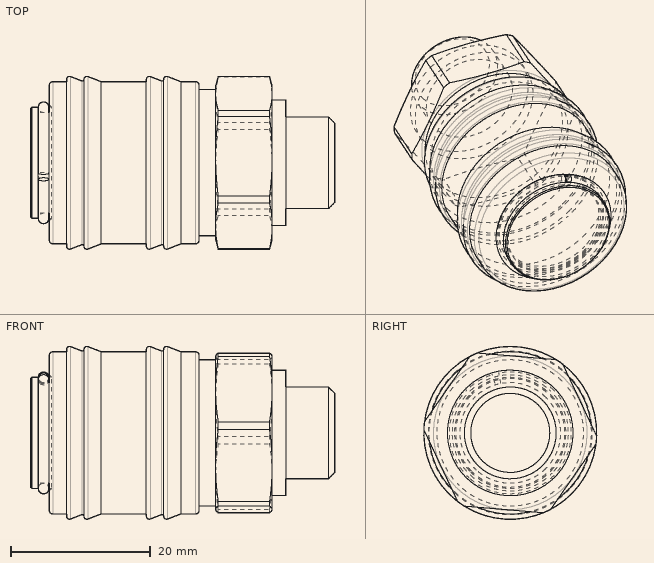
import cadquery as cq
import math


overall_length = 43.6
sleeve_start = 2.65
sleeve_end = 24.15
hex_start = 26.5
hex_end = 34.6
flange_end = 36.6

nose_diameter = 15.95
nose_chamfer = 0.17
groove_diameter = 14.45
groove_start = 1.1

sleeve_diameter = 23.3
sleeve_fillet = 0.52
countersink_diameter = 16.65
first_rib = 5.15
rib_length = 2.5
rib_pair_spacing = 11.42
rib_slope_degrees = 21.2
rib_tip_fillet = 0.45
rib_valley_fillet = 0.2

neck_diameter = 21.0
hex_across_flats = 22.0
hex_corner_diameter = 24.8
hex_tilt_degrees = -4.8
hex_chamfer_degrees = 15.0
flange_diameter = 18.0
stub_diameter = 13.15
stub_chamfer = 0.9

wire_diameter = nose_diameter - groove_diameter
ring_gap_start_degrees = 10.9
ring_gap_degrees = 6.3

X_AXIS = cq.Vector(1, 0, 0)


def cylinder(diameter, start, end):
    """Solid cylinder on the X axis between two stations."""
    return cq.Workplane("YZ", origin=(start, 0, 0)).circle(diameter / 2).extrude(end - start)


def cone(start_diameter, end_diameter, start, end):
    """Solid cone on the X axis between two stations."""
    base = cq.Vector(start, 0, 0)
    solid = cq.Solid.makeCone(start_diameter / 2, end_diameter / 2, end - start, base, X_AXIS)
    return cq.Workplane(obj=solid)


def make_nose():
    """Plug at the -X end with a square groove for the ring."""
    nose = cylinder(nose_diameter, 0, sleeve_end).faces("<X").chamfer(nose_chamfer)
    groove = cylinder(nose_diameter, groove_start, sleeve_start)
    groove_floor = cylinder(groove_diameter, groove_start, sleeve_start)
    return nose.cut(groove.cut(groove_floor))


def make_rib(start):
    """Sawtooth rib: flat front face, rounded tip, and a cone falling to the sleeve surface."""
    rise = rib_length * math.tan(math.radians(rib_slope_degrees))
    rib = cone(sleeve_diameter + 2 * rise, sleeve_diameter, start, start + rib_length)
    return rib.faces("<X").edges().fillet(rib_tip_fillet)


def make_rib_pair(start):
    """Two ribs in a row with a rounded valley between them."""
    valley = start + rib_length
    pair = make_rib(start).union(make_rib(valley))
    half_window = rib_valley_fillet / 2
    valley_window = cq.selectors.BoxSelector(
        (valley - half_window, -sleeve_diameter, -sleeve_diameter),
        (valley + half_window, sleeve_diameter, sleeve_diameter),
    )
    return pair.edges(valley_window).fillet(rib_valley_fillet)


def make_sleeve():
    """Rounded grip sleeve with rib pairs and a countersink around the nose."""
    sleeve = cylinder(sleeve_diameter, sleeve_start, sleeve_end).edges().fillet(sleeve_fillet)
    for pair_index in range(2):
        sleeve = sleeve.union(make_rib_pair(first_rib + pair_index * rib_pair_spacing))
    depth = (countersink_diameter - nose_diameter) / 2
    countersink = cone(countersink_diameter, nose_diameter, sleeve_start, sleeve_start + depth)
    return sleeve.cut(countersink)


def make_hexagon():
    """Hexagon with round-turned corners and conical chamfers on both ends."""
    corner_to_corner = hex_across_flats / math.cos(math.pi / 6)
    hexagon = (
        cq.Workplane("YZ", origin=(hex_start, 0, 0))
        .polygon(6, corner_to_corner)
        .extrude(hex_end - hex_start)
        .rotate((0, 0, 0), (1, 0, 0), hex_tilt_degrees)
    )
    chamfer_height = (hex_corner_diameter - hex_across_flats) / 2
    chamfer_length = chamfer_height * math.tan(math.radians(hex_chamfer_degrees))
    turned_blank = (
        cylinder(hex_corner_diameter, hex_start + chamfer_length, hex_end - chamfer_length)
        .union(cone(hex_across_flats, hex_corner_diameter, hex_start, hex_start + chamfer_length))
        .union(cone(hex_corner_diameter, hex_across_flats, hex_end - chamfer_length, hex_end))
    )
    return hexagon.intersect(turned_blank)


def make_coupling_body():
    """Nose, sleeve, neck, hexagon, flange and stub as one solid."""
    neck = cylinder(neck_diameter, sleeve_end, hex_start)
    flange = cylinder(flange_diameter, hex_end, flange_end)
    stub = cylinder(stub_diameter, flange_end, overall_length).faces(">X").chamfer(stub_chamfer)
    body = make_sleeve().union(make_nose())
    for section in (neck, make_hexagon(), flange, stub):
        body = body.union(section)
    return body


def make_split_ring():
    """Round-wire ring with a short gap turned from +Z towards -Y."""
    return (
        cq.Workplane("XZ")
        .center(groove_start + wire_diameter / 2, nose_diameter / 2)
        .circle(wire_diameter / 2)
        .revolve(360 - ring_gap_degrees, (0, -nose_diameter / 2, 0), (1, -nose_diameter / 2, 0))
        .rotate((0, 0, 0), (1, 0, 0), ring_gap_start_degrees + ring_gap_degrees)
    )


coupling_body = make_coupling_body()
split_ring = make_split_ring()

result = cq.Compound.makeCompound([coupling_body.solids().val(), split_ring.val()])